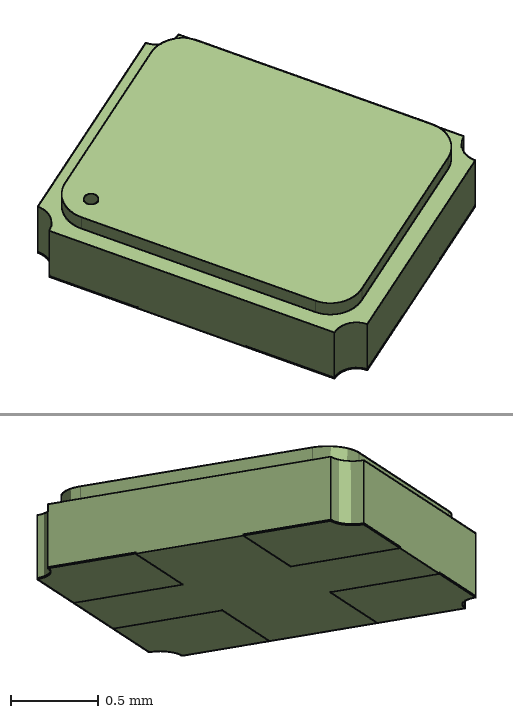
import cadquery as cq

LENGTH = 2.1
WIDTH = 1.7
HEIGHT = 0.5

BASE_HEIGHT = 0.39
NOTCH_RADIUS = 0.14

LID_GAP = 0.013
LID_FRACTION = 0.9
LID_LENGTH = LENGTH * LID_FRACTION
LID_WIDTH = WIDTH * LID_FRACTION
LID_BOTTOM = BASE_HEIGHT + LID_GAP
LID_THICKNESS = HEIGHT - LID_BOTTOM
LID_CORNER_RADIUS = 0.2

MARK_DIAMETER = 0.085
MARK_INSET_X = 0.19
MARK_INSET_Y = 0.151

PAD_LENGTH = 0.704
PAD_WIDTH = 0.6
PAD_THICKNESS = 0.008

CORNER_SIGNS = [(-1, -1), (1, -1), (1, 1), (-1, 1)]


def make_notched_block(height):
    """Full package outline with a concave quarter-round at each corner."""
    corners = [(sx * LENGTH / 2, sy * WIDTH / 2) for sx, sy in CORNER_SIGNS]
    notches = cq.Workplane("XY").pushPoints(corners).circle(NOTCH_RADIUS).extrude(height)
    block = cq.Workplane("XY").rect(LENGTH, WIDTH).extrude(height)
    return block.cut(notches)


def make_pad(sign_x, sign_y):
    """One corner pad, following the corner notch of the base."""
    center_x = sign_x * (LENGTH - PAD_LENGTH) / 2
    center_y = sign_y * (WIDTH - PAD_WIDTH) / 2
    footprint = (
        cq.Workplane("XY")
        .center(center_x, center_y)
        .rect(PAD_LENGTH, PAD_WIDTH)
        .extrude(PAD_THICKNESS)
    )
    return footprint.intersect(make_notched_block(PAD_THICKNESS))


def make_base(pads):
    """Notched block with a matching recess for each pad."""
    base = make_notched_block(BASE_HEIGHT)
    for pad in pads:
        base = base.cut(pad)
    return base


def make_lid():
    """Rounded plate with the round pin-1 mark passing through it."""
    plate = (
        cq.Workplane("XY", origin=(0, 0, LID_BOTTOM))
        .rect(LID_LENGTH, LID_WIDTH)
        .extrude(LID_THICKNESS)
        .edges("|Z")
        .fillet(LID_CORNER_RADIUS)
    )
    mark_x = MARK_INSET_X - LID_LENGTH / 2
    mark_y = MARK_INSET_Y - LID_WIDTH / 2
    mark = (
        cq.Workplane("XY", origin=(mark_x, mark_y, LID_BOTTOM))
        .circle(MARK_DIAMETER / 2)
        .extrude(LID_THICKNESS)
    )
    return plate.cut(mark)


pads = [make_pad(sign_x, sign_y) for sign_x, sign_y in CORNER_SIGNS]
base = make_base(pads)
lid = make_lid()

result = cq.Compound.makeCompound([base.val(), lid.val(), *[pad.val() for pad in pads]])